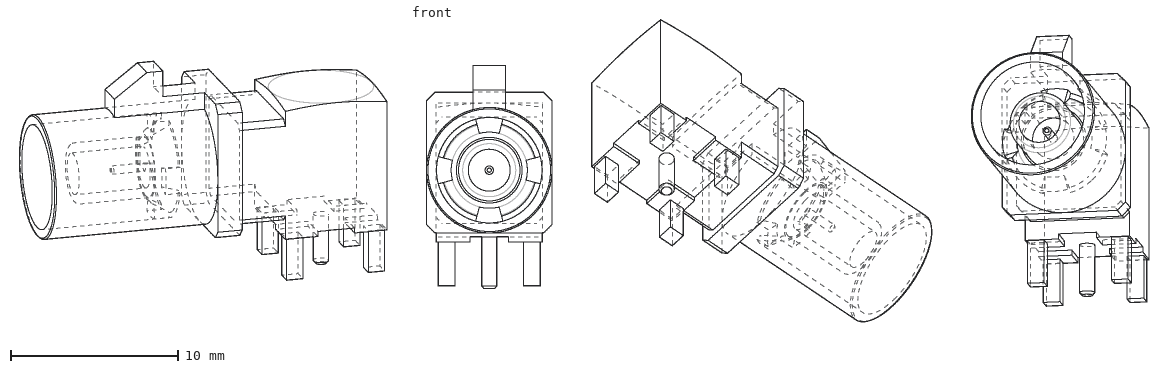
import cadquery as cq
import math

length = 20.88
overall_width = 7.5
overall_height = 13.35

barrel_radius = overall_width / 2
barrel_edge_chamfer = 0.08
bore_radius = 3.15
bore_depth = 8.0

flange_front = 10.15
flange_thickness = 1.52
flange_back = flange_front + flange_thickness
flange_top = 4.65
flange_bottom = -barrel_radius
flange_corner = 0.5

latch_width = 1.96
latch_top = 6.26
latch_front = 4.53
latch_front_top = 4.78
latch_ramp_end = 6.55
latch_step = 7.55

housing_width = 6.35
housing_front = length - housing_width
housing_center_y = length - housing_width / 2
housing_top = 4.0
housing_bottom = -4.3
crown_radius = 3.15
crown_corner_drop = 0.25
channel_width = 2.3
channel_depth = 0.31

neck_top = 3.17
neck_corner = 0.35

leg_width = 1.02
leg_spacing = 5.1
leg_bottom = -6.91
pin_radius = 0.45
pin_tip_radius = 0.31
pin_tip_height = 0.17
pin_bottom = latch_top - overall_height

collar_depth = 7.1
collar_radius = 2.28
collar_mouth_radius = 1.96
collar_chamfer = collar_radius - collar_mouth_radius
collar_base_radius = 2.78
collar_base_chamfer = 0.06
tab_count = 4
tab_angle = 30.0

sleeve_radius = 1.84
sleeve_tip_depth = 2.25
sleeve_fillet = 0.25
socket_radius = 1.25
socket_bottom = 6.68
contact_radius = 0.25
contact_tip_depth = 4.6
contact_chamfer = 0.13


def box(x_size, y_min, y_max, z_min, z_max):
    """Box centered on X = 0 between the given Y and Z limits."""
    return (
        cq.Workplane("XY")
        .box(x_size, y_max - y_min, z_max - z_min, centered=(True, False, False))
        .translate((0, y_min, z_min))
    )


def rod(radius, y_min, y_max):
    """Cylinder about the barrel axis."""
    return cq.Workplane("XZ", origin=(0, y_min, 0)).circle(radius).extrude(y_min - y_max)


def make_barrel():
    outer = rod(barrel_radius, 0, flange_back)
    return outer.faces("<Y").edges().chamfer(barrel_edge_chamfer)


def make_flange():
    plate = box(overall_width, flange_front, flange_back, flange_bottom, flange_top)
    return plate.edges("|Y").chamfer(flange_corner)


def make_latch():
    outline = [
        (flange_back, bore_radius),
        (flange_back, flange_top),
        (latch_step, flange_top),
        (latch_step, latch_top),
        (latch_ramp_end, latch_top),
        (latch_front, latch_front_top),
        (latch_front, bore_radius),
    ]
    return cq.Workplane("YZ").polyline(outline).close().extrude(latch_width / 2, both=True)


def make_neck():
    neck = box(housing_width, flange_back, housing_front, -neck_top, neck_top)
    return neck.edges("|Y").chamfer(neck_corner)


def make_housing():
    housing = box(housing_width, housing_front, length, housing_bottom, housing_top)

    corner_radius = housing_width / math.sqrt(2)
    crown_cut = (
        cq.Workplane("XZ")
        .polyline([
            (crown_radius, housing_top),
            (corner_radius, housing_top),
            (corner_radius, housing_top - crown_corner_drop),
        ])
        .close()
        .revolve(360, (0, 0, 0), (0, 1, 0))
        .translate((0, housing_center_y, 0))
    )
    housing = housing.cut(crown_cut)

    channel = (
        cq.Workplane("XY", origin=(0, housing_center_y, housing_bottom))
        .rect(channel_width, housing_width)
        .extrude(channel_depth)
    )
    axis_start = (0, housing_center_y, 0)
    axis_end = (0, housing_center_y, 1)
    return housing.cut(channel).cut(channel.rotate(axis_start, axis_end, 90))


def make_legs():
    return (
        cq.Workplane("XY", origin=(0, housing_center_y, leg_bottom))
        .rarray(leg_spacing, leg_spacing, 2, 2)
        .rect(leg_width, leg_width)
        .extrude(housing_bottom - leg_bottom)
    )


def make_pin():
    pin_end = housing_bottom + channel_depth
    pin = (
        cq.Workplane("XY", origin=(0, housing_center_y, pin_bottom))
        .circle(pin_radius)
        .extrude(pin_end - pin_bottom)
    )
    return pin.faces("<Z").edges().chamfer(pin_tip_height, pin_radius - pin_tip_radius)


def make_collar():
    flare_end = bore_depth - collar_base_chamfer
    profile = [
        (0, collar_depth - collar_chamfer),
        (collar_mouth_radius, collar_depth - collar_chamfer),
        (collar_radius, collar_depth),
        (collar_base_radius, flare_end),
        (collar_base_radius + collar_base_chamfer, bore_depth),
        (0, bore_depth),
    ]
    return cq.Workplane("XY").polyline(profile).close().revolve(360, (0, 0, 0), (0, 1, 0))


def make_tabs():
    wedge_x = barrel_radius
    wedge_z = wedge_x * math.tan(math.radians(tab_angle / 2))
    wedge = (
        cq.Workplane("XZ", origin=(0, collar_depth, 0))
        .polyline([(0, 0), (wedge_x, -wedge_z), (wedge_x, wedge_z)])
        .close()
        .extrude(collar_depth - bore_depth)
    )
    tabs = wedge
    for index in range(1, tab_count):
        tabs = tabs.union(wedge.rotate((0, 0, 0), (0, 1, 0), index * 360 / tab_count))
    return tabs.intersect(rod(bore_radius, collar_depth, bore_depth))


def make_sleeve():
    sleeve = rod(sleeve_radius, sleeve_tip_depth, bore_depth)
    return sleeve.faces("<Y").edges().fillet(sleeve_fillet)


def make_contact():
    contact = rod(contact_radius, contact_tip_depth, socket_bottom)
    return contact.faces("<Y").edges().chamfer(contact_chamfer)


shell = make_barrel().union(make_flange()).union(make_latch())
shell = shell.union(make_neck()).union(make_housing())
shell = shell.cut(rod(bore_radius, 0, bore_depth))

interior = make_collar().union(make_tabs()).union(make_sleeve())
interior = interior.cut(rod(socket_radius, sleeve_tip_depth, socket_bottom)).union(make_contact())

result = shell.union(interior).union(make_legs()).union(make_pin())